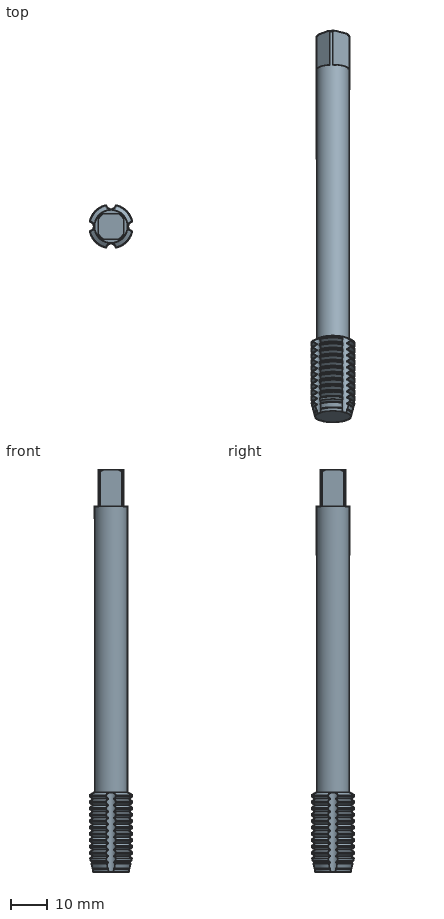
import cadquery as cq
import math

total_length = 110.0

shank_diameter = 9.0
square_width = 6.9
square_length = 10.0
square_end_chamfer = 0.4

head_length = 21.9
thread_diameter = 12.0
thread_depth = 1.0
turns_on_head = 12.6
pitch = head_length / turns_on_head
crest_width = pitch / 5
top_crest_depth = 1.0

tip_diameter = 9.8
lead_length = 4.2

flute_count = 4
flute_radius = 1.3
flute_floor_radius = 4.7


def thread_blank():
    """Solid of revolution with ring-shaped ridges, one per pitch, and V-shaped roots between them."""
    crest_radius = thread_diameter / 2
    root_radius = crest_radius - thread_depth
    outline = [(0, head_length), (shank_diameter / 2, head_length)]
    for ridge in range(math.ceil(turns_on_head)):
        crest_z = head_length - top_crest_depth - ridge * pitch
        outline += [
            (crest_radius, crest_z + crest_width / 2),
            (crest_radius, crest_z - crest_width / 2),
            (root_radius, crest_z - pitch / 2),
        ]
    outline.append((0, crest_z - pitch / 2))
    return cq.Workplane("XZ").polyline(outline).close().revolve(360, (0, 0), (0, 1))


def head_envelope():
    """Smooth cylinder that narrows to the tip diameter over the lead."""
    outline = [
        (0, 0),
        (tip_diameter / 2, 0),
        (thread_diameter / 2, lead_length),
        (thread_diameter / 2, head_length),
        (0, head_length),
    ]
    return cq.Workplane("XZ").polyline(outline).close().revolve(360, (0, 0), (0, 1))


def flutes():
    """Round-bottomed grooves that run the whole length of the head."""
    return (
        cq.Workplane("XY")
        .polarArray(flute_floor_radius + flute_radius, 0, 360, flute_count)
        .circle(flute_radius)
        .extrude(head_length)
    )


def make_head():
    return thread_blank().intersect(head_envelope()).cut(flutes())


def make_shank():
    """Round bar on top of the head, with four flats milled at its upper end."""
    bar_length = total_length - head_length
    round_length = bar_length - square_length
    bar = (
        cq.Workplane("XY")
        .circle(shank_diameter / 2)
        .extrude(bar_length)
        .faces(">Z")
        .chamfer(square_end_chamfer)
    )
    round_part = cq.Workplane("XY").circle(shank_diameter / 2).extrude(round_length)
    square_part = cq.Workplane("XY").rect(square_width, square_width).extrude(bar_length)
    return bar.intersect(round_part.union(square_part)).translate((0, 0, head_length))


head = make_head()
shank = make_shank()

result = cq.Compound.makeCompound([head.val(), shank.val()])